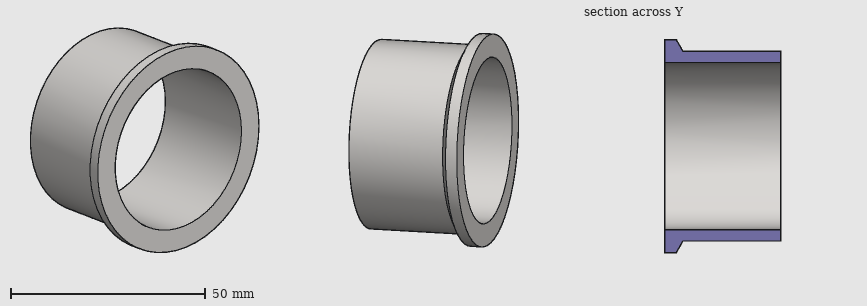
import cadquery as cq

flange_diameter = 55.0
tube_diameter = 49.0
bore_diameter = 43.0
total_length = 30.0
rim_width = 3.0
cone_length = 1.7

flange_radius = flange_diameter / 2
tube_radius = tube_diameter / 2
bore_radius = bore_diameter / 2
rim_start = total_length - rim_width
cone_start = rim_start - cone_length

section = (
    cq.Workplane("XY")
    .moveTo(0, bore_radius)
    .lineTo(0, tube_radius)
    .lineTo(cone_start, tube_radius)
    .lineTo(rim_start, flange_radius)
    .lineTo(total_length, flange_radius)
    .lineTo(total_length, bore_radius)
    .close()
)

result = section.revolve(360, (0, 0, 0), (1, 0, 0))